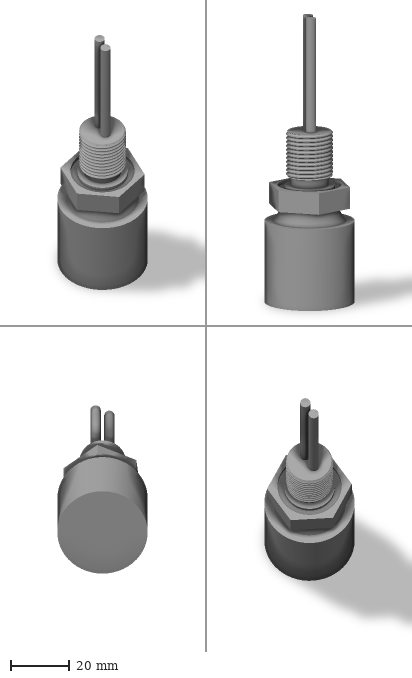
import cadquery as cq
import math

total_height = 100.0
body_height = 28.5
nut_bottom = 33.5
nut_top = 41.0
thread_bottom = 44.0
thread_top = 60.0

body_diameter = 31.0
cone_bottom_diameter = 25.0
cone_top_diameter = 20.0
cone_sag = 0.4
neck_diameter = 12.9
wire_diameter = 3.5
wire_spacing = 5.1

nut_across_flats = 25.2
groove_outer_diameter = 22.0
groove_inner_diameter = 17.4
groove_depth = 1.3

thread_major_diameter = 16.0
thread_minor_diameter = 14.8
thread_pitch = 1.4
thread_end_chamfer = 0.5
thread_start_angle = 37.0
cutter_root_width = 0.2
cutter_crest_width = 1.0
cutter_overshoot = 0.1


def cylinder(diameter, bottom, top):
    return cq.Workplane("XY").workplane(offset=bottom).circle(diameter / 2).extrude(top - bottom)


def make_body():
    """Cylindrical body with a slightly hollow, flared shoulder running up to the nut."""
    bottom_radius = cone_bottom_diameter / 2
    top_radius = cone_top_diameter / 2
    middle = ((bottom_radius + top_radius) / 2 - cone_sag, (body_height + nut_bottom) / 2)
    shoulder = (
        cq.Workplane("XZ")
        .moveTo(0, body_height)
        .lineTo(bottom_radius, body_height)
        .threePointArc(middle, (top_radius, nut_bottom))
        .lineTo(0, nut_bottom)
        .close()
        .revolve(360, (0, 0, 0), (0, 1, 0))
    )
    return cylinder(body_diameter, 0, body_height).union(shoulder)


def make_nut():
    """Hexagon with corners on the X axis and a ring groove in its top."""
    across_corners = nut_across_flats / math.cos(math.pi / 6)
    nut = (
        cq.Workplane("XY")
        .workplane(offset=nut_bottom)
        .polygon(6, across_corners)
        .extrude(nut_top - nut_bottom)
    )
    groove = (
        cq.Workplane("XY")
        .workplane(offset=nut_top - groove_depth)
        .circle(groove_outer_diameter / 2)
        .circle(groove_inner_diameter / 2)
        .extrude(groove_depth)
    )
    return nut.cut(groove)


def make_thread():
    """Chamfered cylinder with a helical groove running out past both ends."""
    root_radius = thread_minor_diameter / 2
    outside_radius = thread_major_diameter / 2 + cutter_overshoot
    flank_slope = (cutter_crest_width - cutter_root_width) / (thread_major_diameter / 2 - root_radius)
    outside_width = cutter_crest_width + flank_slope * cutter_overshoot
    helix_bottom = thread_bottom - thread_pitch
    helix_height = thread_top - thread_bottom + 2 * thread_pitch
    helix = cq.Wire.makeHelix(
        thread_pitch, helix_height, root_radius, center=cq.Vector(0, 0, helix_bottom)
    )
    cutter = (
        cq.Workplane("XZ")
        .moveTo(root_radius, helix_bottom - cutter_root_width / 2)
        .lineTo(outside_radius, helix_bottom - outside_width / 2)
        .lineTo(outside_radius, helix_bottom + outside_width / 2)
        .lineTo(root_radius, helix_bottom + cutter_root_width / 2)
        .close()
        .sweep(cq.Workplane(obj=helix), isFrenet=True)
    )
    blank = cylinder(thread_major_diameter, thread_bottom, thread_top)
    blank = blank.faces("<Z or >Z").chamfer(thread_end_chamfer)
    return blank.cut(cutter.rotate((0, 0, 0), (0, 0, 1), thread_start_angle))


def make_wires():
    """Two parallel wires leaving the top of the threaded core."""
    return (
        cq.Workplane("XY")
        .workplane(offset=thread_top)
        .pushPoints([(-wire_spacing / 2, 0), (wire_spacing / 2, 0)])
        .circle(wire_diameter / 2)
        .extrude(total_height - thread_top)
    )


neck = cylinder(neck_diameter, nut_top, thread_bottom)
result = make_body().union(make_nut()).union(neck).union(make_thread()).union(make_wires())